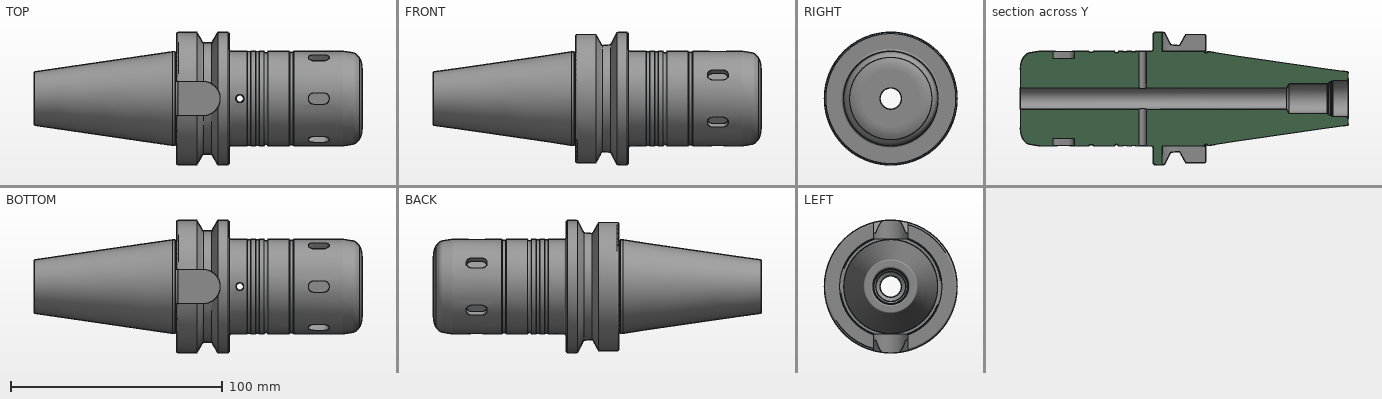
import cadquery as cq
import math


TAPER_LENGTH = 65.4
TAPER_RATIO = 7 / 24
GAUGE_DIAMETER = 44.45
TAPER_END_ROUND = 0.6
NECK_DIAMETER = 44.6
NECK_LENGTH = 1.2
RELIEF_START = 1.6
RELIEF_DIAMETER = 43.5
RELIEF_FLOOR = 2.6
RELIEF_RIM_DIAMETER = 48.5
RELIEF_FILLET = 0.5

FLANGE_DIAMETER = 63.0
FLANGE_START = 2.0
FLANGE_END = 27.0
FLANGE_REAR_ROUND = 1.0
FLANGE_FRONT_CHAMFER = 0.7
V_GROOVE_CENTER = 16.6
V_GROOVE_WIDTH = 10.0
V_GROOVE_BOTTOM_DIAMETER = 53.0
V_GROOVE_HALF_ANGLE = 30.0
V_GROOVE_FILLET = 0.4

SLOT_WIDTH = 16.2
SLOT_TIP = 22.7
SLOT_FLOOR = 22.5

BODY_DIAMETER = 45.0
NOSE_END = 90.0
BODY_ROOT_FILLET = 1.0
GROOVE_DIAMETER = 44.6
GROOVE_WIDTH = 1.95
GROOVE_STARTS = (35.4, 39.4)
ROUND_GROOVE_CENTER = 44.4
ROUND_GROOVE_WIDTH = 1.95
ROUND_GROOVE_DIAMETER = 43.5
NUT_GROOVE_START = 55.2
NUT_GROOVE_WIDTH = 2.4
NUT_GROOVE_DIAMETER = 44.0

NOSE_TAPER_START = 80.8
NOSE_ROUND_START = 85.5
NOSE_ROUND_START_DIAMETER = 43.5
NOSE_ROUND_END = 87.7
NOSE_ROUND_END_DIAMETER = 40.8
NOSE_ROUND_RADIUS = 3.5
NOSE_BEVEL_END = 88.6
NOSE_BEVEL_END_DIAMETER = 39.0
NOSE_FACE_DIAMETER = 28.0

WRENCH_SLOT_COUNT = 6
WRENCH_SLOT_LENGTH = 10.0
WRENCH_SLOT_WIDTH = 5.4
WRENCH_SLOT_CENTER = 69.4
WRENCH_SLOT_FLOOR = 19.0

CROSS_HOLE_POSITION = 32.0
CROSS_HOLE_DIAMETER = 3.4
CROSS_HOLE_RIM_DIAMETER = 4.0

COOLANT_BORE_DIAMETER = 10.0
PULL_STUD_BORE_DIAMETER = 17.0
PULL_STUD_MOUTH_DIAMETER = 19.0
PULL_STUD_BORE_DEPTH = 7.3
SOCKET_STEP_DIAMETERS = (16.5, 16.0, 14.25, 14.0)
SOCKET_STEP_LENGTH = 0.4
PILOT_BORE_DEPTH = 28.0
DRILL_POINT_HALF_ANGLE = 59.0


def revolve_profile(sketch):
    """Turn a closed (X, radius) outline about the X axis."""
    return sketch.close().revolve(360, (0, 0, 0), (1, 0, 0))


def ring_cut(start, width, diameter):
    """Ring that turns a groove with 45 degree walls into the body."""
    surface = BODY_DIAMETER / 2
    floor = diameter / 2
    wall = surface - floor
    return revolve_profile(
        cq.Workplane("XY").moveTo(start, surface).lineTo(start + wall, floor)
        .lineTo(start + width - wall, floor).lineTo(start + width, surface)
    )


def round_ring_cut(center, width, diameter):
    """Ring that turns a groove with an arc section into the body."""
    surface = BODY_DIAMETER / 2
    half = width / 2
    return revolve_profile(
        cq.Workplane("XY").moveTo(center - half, surface)
        .threePointArc((center, diameter / 2), (center + half, surface))
    )


def make_shank():
    rear_radius = (GAUGE_DIAMETER - TAPER_LENGTH * TAPER_RATIO) / 2
    shank = revolve_profile(
        cq.Workplane("XY").moveTo(-TAPER_LENGTH, 0).lineTo(-TAPER_LENGTH, rear_radius)
        .lineTo(0, GAUGE_DIAMETER / 2).lineTo(0, 0)
    )
    return shank.faces("<X").edges().fillet(TAPER_END_ROUND)


def make_flange():
    """Neck, relief groove cut into the rear face, rim and V-groove."""
    neck = NECK_DIAMETER / 2
    relief = RELIEF_DIAMETER / 2
    relief_rim = RELIEF_RIM_DIAMETER / 2
    rim = FLANGE_DIAMETER / 2
    bottom = V_GROOVE_BOTTOM_DIAMETER / 2
    half_top = V_GROOVE_WIDTH / 2
    half_bottom = half_top - (rim - bottom) * math.tan(math.radians(V_GROOVE_HALF_ANGLE))
    flange = revolve_profile(
        cq.Workplane("XY").moveTo(0, 0).lineTo(0, neck)
        .lineTo(NECK_LENGTH, neck)
        .lineTo(RELIEF_START, relief)
        .lineTo(RELIEF_FLOOR - RELIEF_FILLET, relief)
        .radiusArc((RELIEF_FLOOR, relief + RELIEF_FILLET), -RELIEF_FILLET)
        .lineTo(RELIEF_FLOOR, relief_rim - RELIEF_FILLET)
        .radiusArc((RELIEF_FLOOR - RELIEF_FILLET, relief_rim), -RELIEF_FILLET)
        .lineTo(FLANGE_START, relief_rim)
        .lineTo(FLANGE_START, rim - FLANGE_REAR_ROUND)
        .radiusArc((FLANGE_START + FLANGE_REAR_ROUND, rim), FLANGE_REAR_ROUND)
        .lineTo(V_GROOVE_CENTER - half_top, rim)
        .lineTo(V_GROOVE_CENTER - half_bottom, bottom)
        .lineTo(V_GROOVE_CENTER + half_bottom, bottom)
        .lineTo(V_GROOVE_CENTER + half_top, rim)
        .lineTo(FLANGE_END - FLANGE_FRONT_CHAMFER, rim)
        .lineTo(FLANGE_END, rim - FLANGE_FRONT_CHAMFER)
        .lineTo(FLANGE_END, 0)
    )
    select_radius = bottom + V_GROOVE_FILLET
    select_half_length = half_bottom + V_GROOVE_FILLET
    groove_corners = cq.selectors.BoxSelector(
        (V_GROOVE_CENTER - select_half_length, -select_radius, -select_radius),
        (V_GROOVE_CENTER + select_half_length, select_radius, select_radius),
    )
    return flange.edges("%CIRCLE").edges(groove_corners).fillet(V_GROOVE_FILLET)


def make_body():
    radius = BODY_DIAMETER / 2
    dome_length = NOSE_END - NOSE_BEVEL_END
    dome_height = (NOSE_BEVEL_END_DIAMETER - NOSE_FACE_DIAMETER) / 2
    dome_radius = (dome_length**2 + dome_height**2) / (2 * dome_length)
    body = revolve_profile(
        cq.Workplane("XY").moveTo(FLANGE_END, 0)
        .lineTo(FLANGE_END, radius + BODY_ROOT_FILLET)
        .radiusArc((FLANGE_END + BODY_ROOT_FILLET, radius), -BODY_ROOT_FILLET)
        .lineTo(NOSE_TAPER_START, radius)
        .lineTo(NOSE_ROUND_START, NOSE_ROUND_START_DIAMETER / 2)
        .radiusArc((NOSE_ROUND_END, NOSE_ROUND_END_DIAMETER / 2), NOSE_ROUND_RADIUS)
        .lineTo(NOSE_BEVEL_END, NOSE_BEVEL_END_DIAMETER / 2)
        .radiusArc((NOSE_END, NOSE_FACE_DIAMETER / 2), dome_radius)
        .lineTo(NOSE_END, 0)
    )
    for start in GROOVE_STARTS:
        body = body.cut(ring_cut(start, GROOVE_WIDTH, GROOVE_DIAMETER))
    body = body.cut(round_ring_cut(ROUND_GROOVE_CENTER, ROUND_GROOVE_WIDTH, ROUND_GROOVE_DIAMETER))
    return body.cut(ring_cut(NUT_GROOVE_START, NUT_GROOVE_WIDTH, NUT_GROOVE_DIAMETER))


def make_drive_slot():
    """Round-ended cutter for the slot on the +Z side, open towards the shank."""
    half = SLOT_WIDTH / 2
    arc_center = SLOT_TIP - half
    return (
        cq.Workplane("XY", origin=(0, 0, SLOT_FLOOR))
        .moveTo(0, -half).lineTo(arc_center, -half)
        .threePointArc((SLOT_TIP, 0), (arc_center, half))
        .lineTo(0, half).close().extrude(FLANGE_DIAMETER)
    )


def make_wrench_slot():
    """Flat-bottomed obround cutter on the +Z side of the nut."""
    return (
        cq.Workplane("XY", origin=(WRENCH_SLOT_CENTER, 0, WRENCH_SLOT_FLOOR))
        .slot2D(WRENCH_SLOT_LENGTH, WRENCH_SLOT_WIDTH).extrude(BODY_DIAMETER)
    )


def make_cross_hole():
    """Cutter through the body along Z with a chamfered rim on the +Z side."""
    hole = (
        cq.Workplane("XY", origin=(CROSS_HOLE_POSITION, 0, 0))
        .circle(CROSS_HOLE_DIAMETER / 2).extrude(BODY_DIAMETER, both=True)
    )
    rim_depth = (CROSS_HOLE_RIM_DIAMETER - CROSS_HOLE_DIAMETER) / 2
    rim = (
        cq.Workplane("XY", origin=(CROSS_HOLE_POSITION, 0, BODY_DIAMETER / 2))
        .circle(CROSS_HOLE_RIM_DIAMETER / 2)
        .workplane(offset=-rim_depth).circle(CROSS_HOLE_DIAMETER / 2).loft()
    )
    return hole.union(rim)


def make_bore():
    """Through bore with the pull-stud socket, narrowed in 45 degree steps, at the shank end."""
    socket = PULL_STUD_BORE_DIAMETER / 2
    mouth = PULL_STUD_MOUTH_DIAMETER / 2
    pilot = SOCKET_STEP_DIAMETERS[-1] / 2
    coolant = COOLANT_BORE_DIAMETER / 2
    socket_end = PULL_STUD_BORE_DEPTH - TAPER_LENGTH
    outline = (
        cq.Workplane("XY").moveTo(-TAPER_LENGTH, 0).lineTo(-TAPER_LENGTH, mouth)
        .radiusArc((-TAPER_LENGTH + mouth - socket, socket), socket - mouth)
        .lineTo(socket_end, socket)
    )
    position = socket_end
    radius = socket
    for diameter in SOCKET_STEP_DIAMETERS:
        position += radius - diameter / 2
        radius = diameter / 2
        outline = outline.lineTo(position, radius)
        position += SOCKET_STEP_LENGTH
        outline = outline.lineTo(position, radius)
    pilot_end = PILOT_BORE_DEPTH - TAPER_LENGTH
    point_length = (pilot - coolant) / math.tan(math.radians(DRILL_POINT_HALF_ANGLE))
    return revolve_profile(
        outline.lineTo(pilot_end, pilot).lineTo(pilot_end + point_length, coolant)
        .lineTo(NOSE_END, coolant).lineTo(NOSE_END, 0)
    )


result = make_shank().union(make_flange()).union(make_body())

drive_slot = make_drive_slot()
for angle in (0, 180):
    result = result.cut(drive_slot.rotate((0, 0, 0), (1, 0, 0), angle))

wrench_slot = make_wrench_slot()
for index in range(WRENCH_SLOT_COUNT):
    slot_angle = index * 360 / WRENCH_SLOT_COUNT
    result = result.cut(wrench_slot.rotate((0, 0, 0), (1, 0, 0), slot_angle))

result = result.cut(make_cross_hole()).cut(make_bore())